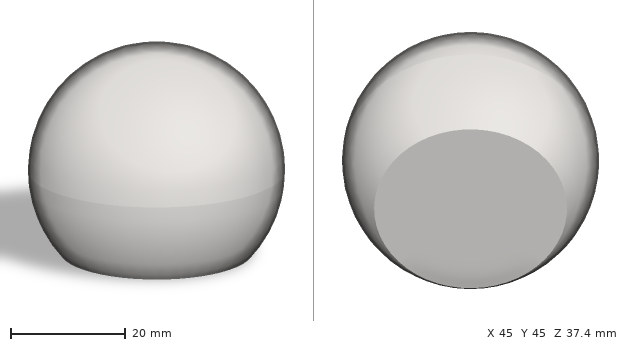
import cadquery as cq
import math


ball_diameter = 45.0
flat_depth = 14.9

ball_radius = ball_diameter / 2
flat_radius = math.sqrt(ball_radius**2 - flat_depth**2)

upper_mid_angle = math.radians(90) / 2
lower_mid_angle = -math.asin(flat_depth / ball_radius) / 2


def point_on_ball(angle):
    """Point of the half profile at the given angle from the equator."""
    return (-ball_radius * math.cos(angle), ball_radius * math.sin(angle))


half_profile = (
    cq.Workplane("XZ")
    .moveTo(0, -flat_depth)
    .lineTo(-flat_radius, -flat_depth)
    .threePointArc(point_on_ball(lower_mid_angle), (-ball_radius, 0))
    .threePointArc(point_on_ball(upper_mid_angle), (0, ball_radius))
    .close()
)

result = half_profile.revolve(360, (0, 0, 0), (0, 1, 0), clean=False)